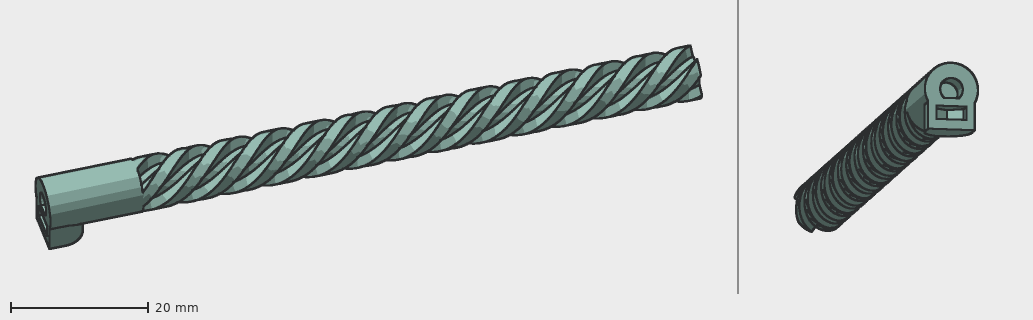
import cadquery as cq
import math

total_length = 99.0
handle_length = 14.2
rod_radius = 4.0

fin_count = 4
helix_lead = 25.2
fin_start_angle = 9.5
core_radius = 2.5
fin_width = 2.5

foot_width = 6.9
foot_flat_length = 2.5
foot_bottom = -5.9

socket_radius = 1.7
socket_flat_z = -1.3
socket_depth = 4.0

pocket_width = 4.5
pocket_top = -2.5
pocket_bottom = -4.5
pocket_side_depth = 2.2
pocket_end_slope = 30.0


def make_finned_rod():
    """Round core with straight-sided fins, twisted along the rod."""
    length = total_length - handle_length
    bar_length = 2 * rod_radius + fin_width
    bar_count = fin_count // 2
    profile = cq.Sketch()
    for i in range(bar_count):
        bar_angle = fin_start_angle + 180 * i / bar_count
        profile = profile.rect(bar_length, fin_width, angle=bar_angle)
    profile = profile.circle(core_radius).circle(rod_radius, mode="i").clean()
    twist = -360 * length / helix_lead
    rod = cq.Workplane("XZ").placeSketch(profile).twistExtrude(-length, twist)
    return rod.translate((0, handle_length, 0))


def make_handle():
    barrel = cq.Workplane("XZ").circle(rod_radius).extrude(-handle_length)
    half_width = foot_width / 2
    foot = (
        cq.Workplane("XY", origin=(0, 0, foot_bottom))
        .moveTo(-half_width, 0)
        .lineTo(half_width, 0)
        .lineTo(half_width, foot_flat_length)
        .threePointArc((0, foot_flat_length + half_width), (-half_width, foot_flat_length))
        .close()
        .extrude(-foot_bottom)
    )
    return barrel.union(foot)


def make_socket():
    half_flat = math.sqrt(socket_radius**2 - socket_flat_z**2)
    return (
        cq.Workplane("XZ")
        .moveTo(-half_flat, socket_flat_z)
        .threePointArc((0, socket_radius), (half_flat, socket_flat_z))
        .close()
        .extrude(-socket_depth)
    )


def make_pocket():
    half_width = pocket_width / 2
    pocket_depth = pocket_side_depth + half_width * math.tan(math.radians(pocket_end_slope))
    return (
        cq.Workplane("XY", origin=(0, 0, pocket_bottom))
        .moveTo(-half_width, 0)
        .lineTo(half_width, 0)
        .lineTo(half_width, pocket_side_depth)
        .lineTo(0, pocket_depth)
        .lineTo(-half_width, pocket_side_depth)
        .close()
        .extrude(pocket_top - pocket_bottom)
    )


handle = make_handle().cut(make_socket()).cut(make_pocket())
result = handle.union(make_finned_rod())